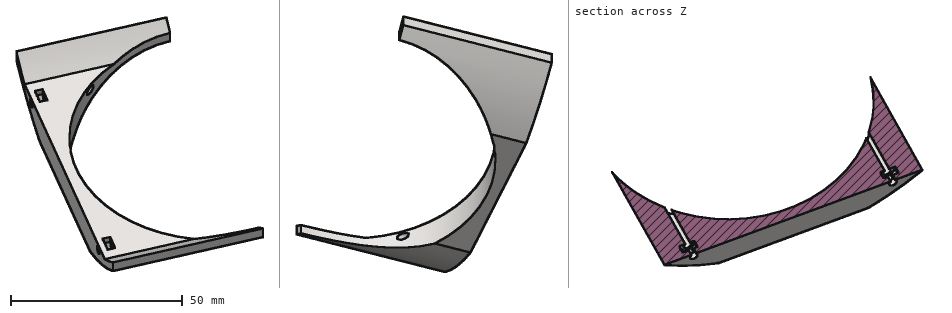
import cadquery as cq
import math

length = 92.0
depth = 46.0
height = 16.1
shelf_height = 10.0
wing_center_z = 67.7
outer_radius = 71.85
bore_radius = 42.4
hole_offset = 31.9
hole_height = 8.0
hole_diameter = 2.4
slot_offset = 32.2
slot_width = 4.7
nut_front_gap = 2.0
nut_thickness = 2.3

half_length = length / 2
inner_radius = math.hypot(half_length, wing_center_z - height)


def arc_z(radius, x):
    """Height of a wing surface at a given X."""
    return wing_center_z - math.sqrt(radius**2 - x**2)


def arc_x(radius, z):
    """Half width of a wing surface at a given Z."""
    return math.sqrt(radius**2 - (wing_center_z - z) ** 2)


def front_to_back(y_start, thickness):
    """XZ workplane at y_start and the signed extrusion that runs toward +Y."""
    return cq.Workplane("XZ", origin=(0, y_start, 0)), -thickness


def make_body():
    """Flat shelf with curved wings, extruded through the depth."""
    base_x = arc_x(outer_radius, 0)
    shelf_x = arc_x(inner_radius, shelf_height)
    lower_mid_x = (base_x + half_length) / 2
    upper_mid_x = (shelf_x + half_length) / 2
    lower_mid_z = arc_z(outer_radius, lower_mid_x)
    upper_mid_z = arc_z(inner_radius, upper_mid_x)
    end_z = arc_z(outer_radius, half_length)
    plane, distance = front_to_back(0, depth)
    return (
        plane.moveTo(-base_x, 0)
        .lineTo(base_x, 0)
        .threePointArc((lower_mid_x, lower_mid_z), (half_length, end_z))
        .lineTo(half_length, height)
        .threePointArc((upper_mid_x, upper_mid_z), (shelf_x, shelf_height))
        .lineTo(-shelf_x, shelf_height)
        .threePointArc((-upper_mid_x, upper_mid_z), (-half_length, height))
        .lineTo(-half_length, end_z)
        .threePointArc((-lower_mid_x, lower_mid_z), (-base_x, 0))
        .close()
        .extrude(distance)
    )


def make_bore():
    """Vertical cylinder centered on the back edge."""
    return cq.Workplane("XY").center(0, depth).circle(bore_radius).extrude(height)


def make_screw_hole(x):
    """Screw hole running through the part along Y."""
    plane, distance = front_to_back(0, depth)
    return plane.center(x, hole_height).circle(hole_diameter / 2).extrude(distance)


def make_nut_slot(side):
    """Nut trap open at the shelf; its sloped floor has a flat centered on the screw hole."""
    x_screw = side * hole_offset
    x_slot = side * slot_offset
    half_width = slot_width / 2
    half_flat = half_width / 2
    floor_z = hole_height - half_width * math.sqrt(3) / 2
    outline = [
        (x_slot - half_width, shelf_height),
        (x_slot - half_width, hole_height),
        (x_screw - half_flat, floor_z),
        (x_screw + half_flat, floor_z),
        (x_slot + half_width, hole_height),
        (x_slot + half_width, shelf_height),
    ]
    plane, distance = front_to_back(nut_front_gap, nut_thickness)
    return plane.polyline(outline).close().extrude(distance)


result = make_body().cut(make_bore())
for side in (-1, 1):
    result = result.cut(make_screw_hole(side * hole_offset))
    result = result.cut(make_nut_slot(side))